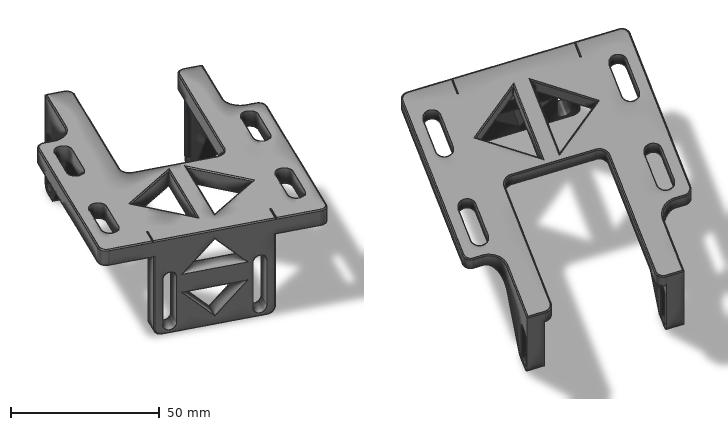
import cadquery as cq

LENGTH = 95.7
WIDTH = 81.1
HEIGHT = 38.4
THICKNESS = 6.2
EDGE_CHAMFER = 0.43
CORNER_RADIUS = 3.0

BODY_FRONT = 27.3
ARM_HALF_WIDTH = 27.9
ARM_FILLET = 6.3
CUTOUT_DEPTH = 53.7
CUTOUT_HALF_WIDTH = 18.4
CUTOUT_RADIUS = 3.4
plate_bottom = HEIGHT - THICKNESS
wall_front = LENGTH - THICKNESS

PLATE_SLOT_LENGTH = 18.9
PLATE_SLOT_WIDTH = 6.2
PLATE_SLOT_Y = 33.0
PLATE_SLOT_X = (40.8, 77.1)

PLATE_WINDOW_X = 71.5
PLATE_WINDOW_HALF_WIDTH = 14.7
PLATE_WINDOW_BASE_Y = 3.2
PLATE_WINDOW_APEX_Y = 21.5

LEG_FOOT = 7.85
leg_inner_y = ARM_HALF_WIDTH - THICKNESS
wall_half_width = leg_inner_y

UPRIGHT_SLOT_LENGTH = 23.3
UPRIGHT_SLOT_WIDTH = 4.9
SLOT_MARGIN = 1.4
WALL_SLOT_Y = 16.0
upright_slot_z = SLOT_MARGIN + UPRIGHT_SLOT_LENGTH / 2
leg_slot_x = SLOT_MARGIN + UPRIGHT_SLOT_WIDTH / 2

WALL_WINDOW_HALF_WIDTH = 11.7
WALL_WINDOW_HEIGHT = 12.0
WALL_WINDOW_BASES_Z = (15.6, 22.9)


def make_plate_windows():
    """Prisms for the two plate windows, with their bases facing each other."""
    windows = cq.Workplane("XY").workplane(offset=plate_bottom)
    for side in (-1, 1):
        windows = windows.polyline([
            (PLATE_WINDOW_X - PLATE_WINDOW_HALF_WIDTH, side * PLATE_WINDOW_BASE_Y),
            (PLATE_WINDOW_X + PLATE_WINDOW_HALF_WIDTH, side * PLATE_WINDOW_BASE_Y),
            (PLATE_WINDOW_X, side * PLATE_WINDOW_APEX_Y),
        ]).close()
    return windows.extrude(THICKNESS)


def make_block(x_start, x_end, half_width, z_bottom):
    """Box centred on Y that reaches from z_bottom up to the top face."""
    return (
        cq.Workplane("XY").workplane(offset=z_bottom)
        .center((x_start + x_end) / 2, 0).rect(x_end - x_start, 2 * half_width)
        .extrude(HEIGHT - z_bottom)
    )


def round_corner_pair(solid, x, half_width, radius):
    """Round the two upright edges at the given X and at plus and minus half_width."""
    for side in (-1, 1):
        corner = cq.selectors.NearestToPointSelector((x, side * half_width, HEIGHT))
        solid = solid.edges("|Z").edges(corner).fillet(radius)
    return solid


def make_blank(z_bottom):
    """Body and arms without the cutout, from z_bottom up to the top face."""
    body = make_block(BODY_FRONT, LENGTH, WIDTH / 2, z_bottom).edges("|Z").fillet(CORNER_RADIUS)
    arms = make_block(0, wall_front, ARM_HALF_WIDTH, z_bottom)
    return round_corner_pair(body.union(arms), BODY_FRONT, ARM_HALF_WIDTH, ARM_FILLET)


def make_plate():
    """Top plate with the cutout, windows and slots; its outline and windows are chamfered on top."""
    cutout = make_block(-CUTOUT_DEPTH, CUTOUT_DEPTH, CUTOUT_HALF_WIDTH, plate_bottom)
    cutout = cutout.edges("|Z").fillet(CUTOUT_RADIUS)
    plate = make_blank(plate_bottom).cut(cutout)
    plate = round_corner_pair(plate, 0, CUTOUT_HALF_WIDTH, CORNER_RADIUS)
    plate = plate.cut(make_plate_windows())
    plate = plate.faces(">Z").edges().chamfer(EDGE_CHAMFER)
    slot_centres = [(x, side * PLATE_SLOT_Y) for x in PLATE_SLOT_X for side in (-1, 1)]
    slots = (
        cq.Workplane("XY").workplane(offset=plate_bottom).pushPoints(slot_centres)
        .slot2D(PLATE_SLOT_LENGTH, PLATE_SLOT_WIDTH).extrude(THICKNESS)
    )
    return plate.cut(slots)


def make_legs():
    """Two tapered legs below the arms, trimmed to the plan outline so they follow the arm fillets."""
    profile = (
        cq.Workplane("XZ")
        .moveTo(0, plate_bottom).lineTo(BODY_FRONT, plate_bottom).lineTo(LEG_FOOT, 0).lineTo(0, 0).close()
        .extrude(WIDTH / 2, both=True)
        .edges("|Y and <X and <Z").fillet(CORNER_RADIUS)
    )
    gap = make_block(0, LENGTH, leg_inner_y, 0)
    slot = (
        cq.Workplane("XZ").center(leg_slot_x, upright_slot_z)
        .slot2D(UPRIGHT_SLOT_LENGTH, UPRIGHT_SLOT_WIDTH, 90).extrude(WIDTH / 2, both=True)
    )
    return profile.intersect(make_blank(0)).cut(gap).cut(slot)


def make_wall_openings():
    """Two upright slots and two triangular windows through the wall."""
    plane = cq.Workplane("YZ").workplane(offset=wall_front)
    slots = (
        plane.pushPoints([(-WALL_SLOT_Y, upright_slot_z), (WALL_SLOT_Y, upright_slot_z)])
        .slot2D(UPRIGHT_SLOT_LENGTH, UPRIGHT_SLOT_WIDTH, 90).extrude(THICKNESS)
    )
    lower_base, upper_base = WALL_WINDOW_BASES_Z
    windows = plane
    for base_z, apex_z in (
        (lower_base, lower_base - WALL_WINDOW_HEIGHT),
        (upper_base, upper_base + WALL_WINDOW_HEIGHT),
    ):
        windows = windows.polyline([
            (-WALL_WINDOW_HALF_WIDTH, base_z), (WALL_WINDOW_HALF_WIDTH, base_z), (0, apex_z)
        ]).close()
    return slots.union(windows.extrude(THICKNESS))


def make_wall():
    """Rear wall with rounded lower corners and a chamfered outer face."""
    wall = make_block(wall_front, LENGTH, wall_half_width, 0)
    wall = wall.edges("|X and <Z").fillet(CORNER_RADIUS)
    return wall.faces(">X").edges().chamfer(EDGE_CHAMFER)


def make_joint_grooves():
    """Fine bevelled grooves in the top face, one along each side of the wall."""
    grooves = cq.Workplane("YZ").workplane(offset=wall_front)
    for side in (-1, 1):
        grooves = grooves.polyline([
            (side * wall_half_width, HEIGHT),
            (side * (wall_half_width + EDGE_CHAMFER), HEIGHT),
            (side * wall_half_width, HEIGHT - EDGE_CHAMFER),
        ]).close()
    return grooves.extrude(THICKNESS)


result = (
    make_plate()
    .union(make_legs())
    .union(make_wall())
    .cut(make_wall_openings())
    .cut(make_joint_grooves())
)